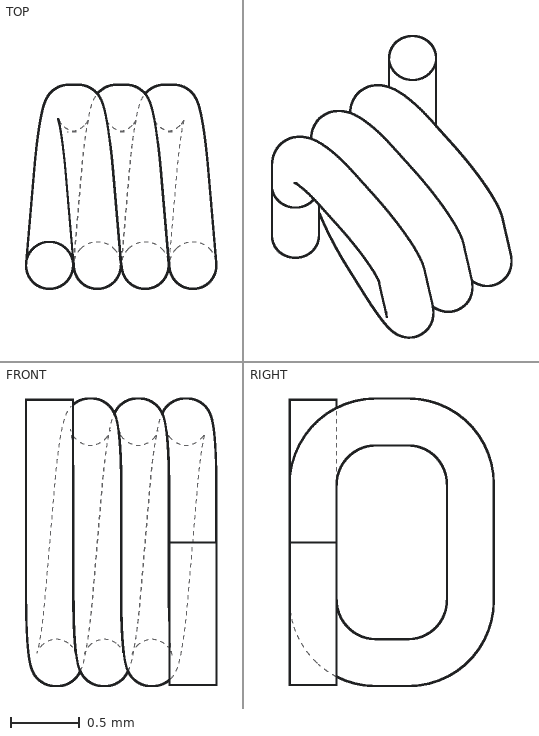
import cadquery as cq
import math

HEIGHT = 2.1
DEPTH = 1.49
WIDTH = 1.39
WIRE_DIAMETER = 0.345
BEND_RADIUS = 0.458
TURNS = 3
LEAD_SETBACK = 0.008

WIRE_RADIUS = WIRE_DIAMETER / 2
PITCH = (WIDTH - WIRE_DIAMETER) / TURNS
FRONT_Y = -(DEPTH - WIRE_DIAMETER) / 2
BACK_Y = -FRONT_Y
TOP_Z = (HEIGHT - WIRE_DIAMETER) / 2
BOTTOM_Z = -TOP_Z
RUN_DEPTH = BACK_Y - FRONT_Y
LEG_HEIGHT = TOP_Z - BOTTOM_Z
SIDE_STEP = PITCH * RUN_DEPTH / (2 * RUN_DEPTH + LEG_HEIGHT)
LEAD_END_Z = HEIGHT / 2 - LEAD_SETBACK
JOINT_Z = 0.0


def coil_corners():
    """Sharp corners of the center line, from the upper lead end to the joint."""
    corners = [cq.Vector(0, FRONT_Y, LEAD_END_Z)]
    for turn in range(TURNS):
        x = turn * PITCH
        corners += [
            cq.Vector(x, FRONT_Y, BOTTOM_Z),
            cq.Vector(x + SIDE_STEP, BACK_Y, BOTTOM_Z),
            cq.Vector(x + PITCH - SIDE_STEP, BACK_Y, TOP_Z),
            cq.Vector(x + PITCH, FRONT_Y, TOP_Z),
        ]
    corners.append(cq.Vector(TURNS * PITCH, FRONT_Y, JOINT_Z))
    return corners


def rounded_path(corners, radius):
    """Wire through the corners, with each inner corner replaced by a tangent arc."""
    edges = []
    start = corners[0]
    for before, corner, after in zip(corners, corners[1:], corners[2:]):
        to_before = (before - corner).normalized()
        to_after = (after - corner).normalized()
        half_angle = to_before.getAngle(to_after) / 2
        tangent_length = radius / math.tan(half_angle)
        arc_start = corner + to_before * tangent_length
        arc_end = corner + to_after * tangent_length
        bisector = (to_before + to_after).normalized()
        arc_middle = corner + bisector * (radius / math.sin(half_angle) - radius)
        edges.append(cq.Edge.makeLine(start, arc_start))
        edges.append(cq.Edge.makeThreePointArc(arc_start, arc_middle, arc_end))
        start = arc_end
    edges.append(cq.Edge.makeLine(start, corners[-1]))
    return cq.Wire.assembleEdges(edges)


def make_coil():
    """Upper lead and all turns, as one round wire."""
    path = rounded_path(coil_corners(), BEND_RADIUS)
    wire_end = cq.Workplane("XY", origin=(0, FRONT_Y, LEAD_END_Z)).circle(WIRE_RADIUS)
    return wire_end.sweep(cq.Workplane(obj=path))


def make_lower_lead():
    """Straight lead that continues the last front leg down from the joint."""
    lead_length = JOINT_Z + LEAD_END_Z
    foot = cq.Workplane("XY", origin=(TURNS * PITCH, FRONT_Y, -LEAD_END_Z))
    return foot.circle(WIRE_RADIUS).extrude(lead_length)


coil = make_coil()
lower_lead = make_lower_lead()
result = cq.Compound.makeCompound([coil.val(), lower_lead.val()])